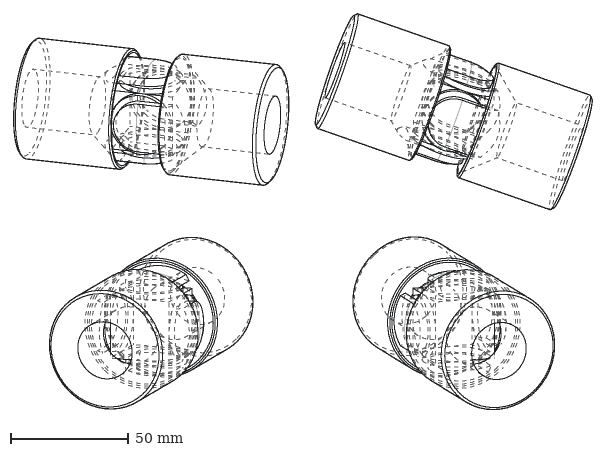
import cadquery as cq
import math

total_length = 108.0
hub_gap = 21.0
half_length = total_length / 2
half_gap = hub_gap / 2

hub_radius = 52.0 / 2
shaft_bore_radius = 25.0 / 2
outer_chamfer = 1.2
inner_chamfer = 0.75
recess_mouth_radius = 24.35
recess_depth = 13.5

arm_width = 22.0
arm_outer_radius = 22.5
arm_inner_distance = 16.0
arm_root = half_gap + recess_depth

cross_size = 27.0
boss_radius = 27.0 / 2

joint_centre = (0, 0, 0)


def revolve_about_shaft(profile):
    return profile.revolve(360, joint_centre, (1, 0, 0))


def make_sleeve():
    """Hub on the -X side, made by turning its half section about the shaft axis."""
    section = (
        cq.Workplane("XY")
        .moveTo(-half_length, shaft_bore_radius)
        .lineTo(-half_length, hub_radius - outer_chamfer)
        .lineTo(-half_length + outer_chamfer, hub_radius)
        .lineTo(-half_gap - inner_chamfer, hub_radius)
        .lineTo(-half_gap, hub_radius - inner_chamfer)
        .lineTo(-half_gap, recess_mouth_radius)
        .lineTo(-half_gap - recess_depth, shaft_bore_radius)
        .close()
    )
    return revolve_about_shaft(section)


def make_arm_envelope():
    """Solid cylinder along the shaft axis that ends in a hemisphere about the joint centre."""
    dome_midpoint = arm_outer_radius * math.sqrt(0.5)
    section = (
        cq.Workplane("XY")
        .moveTo(-arm_root, 0)
        .lineTo(-arm_root, arm_outer_radius)
        .lineTo(0, arm_outer_radius)
        .threePointArc((dome_midpoint, dome_midpoint), (arm_outer_radius, 0))
        .close()
    )
    return revolve_about_shaft(section)


def make_arms():
    """Arms at +Z and -Z, parallel-sided with round ends centred on the cross axis."""
    half_width = arm_width / 2
    rounded_bar = (
        cq.Workplane("XY")
        .moveTo(-arm_root, -half_width)
        .lineTo(0, -half_width)
        .threePointArc((half_width, 0), (0, half_width))
        .lineTo(-arm_root, half_width)
        .close()
        .extrude(arm_outer_radius, both=True)
    )
    space_between = cq.Workplane("XY").box(2 * arm_root, arm_width, 2 * arm_inner_distance)
    return rounded_bar.intersect(make_arm_envelope()).cut(space_between)


def make_fork():
    return make_sleeve().union(make_arms())


def make_cross():
    """Cube with a round boss on each of the four faces that meet the fork arms."""
    cube = cq.Workplane("XY").box(cross_size, cross_size, cross_size)
    vertical_bosses = cq.Workplane("XY").circle(boss_radius).extrude(arm_inner_distance, both=True)
    side_bosses = cq.Workplane("XZ").circle(boss_radius).extrude(arm_inner_distance, both=True)
    return cube.union(vertical_bosses).union(side_bosses)


forks = []
for facing_angle, shaft_angle in ((0, 0), (180, 90)):
    fork = make_fork().rotate(joint_centre, (0, 0, 1), facing_angle)
    forks.append(fork.rotate(joint_centre, (1, 0, 0), shaft_angle))

cross = make_cross()

fork_solids = [fork.solids().val() for fork in forks]
result = cq.Compound.makeCompound([*fork_solids, cross.solids().val()])